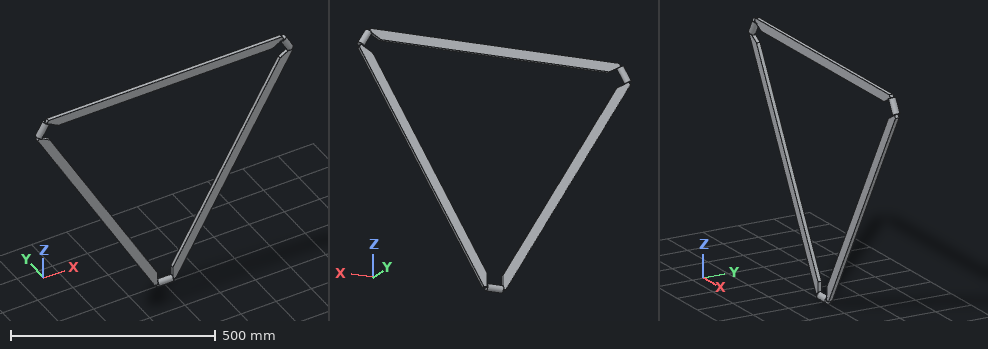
import cadquery as cq
import math

BAR_COUNT = 3
CORNER_STEP = 360 / BAR_COUNT
BAR_THICKNESS = 11.0
BAR_WIDTH = 26.0
BAR_OUTER_DISTANCE = 226.0
PIN_DIAMETER = 20.0
PIN_LENGTH = 42.0
PIN_AXIS_DISTANCE = 399.5
BAR_TIP_OVERHANG = 1.0

CORNER_ANGLE = math.radians(30)
COS_CORNER = math.cos(CORNER_ANGLE)
SIN_CORNER = math.sin(CORNER_ANGLE)


def corner_point(outward, sideways):
    """XZ point from distances along and across the line from the origin to the right corner."""
    x = outward * COS_CORNER - sideways * SIN_CORNER
    z = outward * SIN_CORNER + sideways * COS_CORNER
    return x, z


def make_top_bar():
    """Bar whose ends are cut flush with the pin end faces and blunted at the tips."""
    pin_end = PIN_LENGTH / 2
    tip_distance = PIN_AXIS_DISTANCE + BAR_TIP_OVERHANG
    bar_inner_distance = BAR_OUTER_DISTANCE - BAR_WIDTH
    tip_sideways = (BAR_OUTER_DISTANCE - tip_distance * SIN_CORNER) / COS_CORNER
    inner_outward = (bar_inner_distance - pin_end * COS_CORNER) / SIN_CORNER
    right_end = [
        corner_point(tip_distance, tip_sideways),
        corner_point(tip_distance, pin_end),
        corner_point(inner_outward, pin_end),
    ]
    left_end = [(-x, z) for x, z in reversed(right_end)]
    outline = cq.Workplane("XZ").polyline(right_end + left_end).close()
    return outline.extrude(BAR_THICKNESS).translate((0, BAR_THICKNESS / 2, 0))


def make_bottom_pin():
    """Round pin along X at the bottom corner."""
    pin = cq.Workplane("YZ").circle(PIN_DIAMETER / 2).extrude(PIN_LENGTH)
    return pin.translate((-PIN_LENGTH / 2, 0, -PIN_AXIS_DISTANCE))


bar_and_pin = [make_top_bar(), make_bottom_pin()]
frame = cq.Workplane("XZ")
for corner in range(BAR_COUNT):
    for member in bar_and_pin:
        frame = frame.union(member.rotate((0, 0, 0), (0, 1, 0), corner * CORNER_STEP))

result = frame